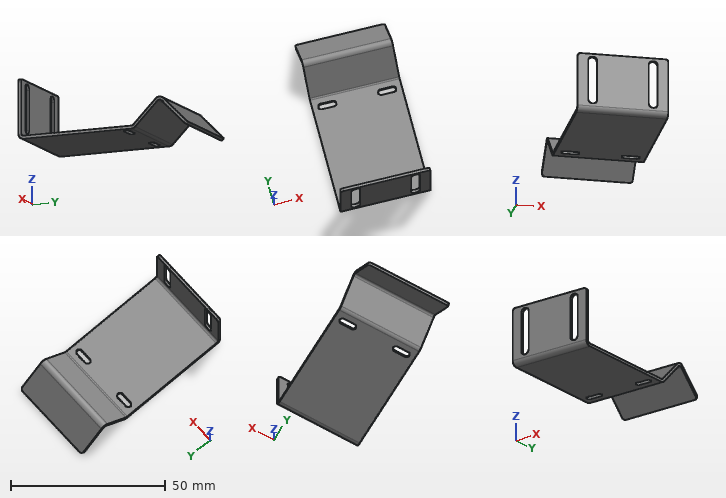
import cadquery as cq
import math

width = 30.0
length = 59.85
height = 20.0
thickness = 1.0
inner_radius = 0.85
outer_radius = inner_radius + thickness
corner_radius = 1.0

ridge_y = 50.0
ridge_z = 10.55
valley_y = ridge_y - (ridge_z - thickness)
tip_z = ridge_z - (length - ridge_y)
end_step = thickness / math.sqrt(2)

slot_offset = 10.0
wall_slot_length = 16.3
wall_slot_width = 3.0
wall_slot_z = 10.9
floor_slot_length = 6.0
floor_slot_width = 2.0
floor_slot_y = 37.1


def bent_sheet():
    """Extrude the sheet profile across X and round each bend on both faces."""
    wall_inside = (thickness, thickness)
    wall_outside = (0, 0)
    valley_top = (valley_y, thickness)
    valley_bottom = (valley_y + thickness * math.tan(math.radians(22.5)), 0)
    ridge_top = (ridge_y, ridge_z)
    ridge_bottom = (ridge_y, ridge_z - thickness * math.sqrt(2))
    outline = [
        (0, height),
        (thickness, height),
        wall_inside,
        valley_top,
        ridge_top,
        (length, tip_z),
        (length - end_step, tip_z - end_step),
        ridge_bottom,
        valley_bottom,
        wall_outside,
    ]
    sheet = cq.Workplane("YZ").polyline(outline).close().extrude(width / 2, both=True)
    bends = [
        (inner_radius, [wall_inside, valley_top, ridge_bottom]),
        (outer_radius, [wall_outside, valley_bottom, ridge_top]),
    ]
    for radius, corners in bends:
        for y, z in corners:
            corner = cq.selectors.NearestToPointSelector((0, y, z))
            sheet = sheet.edges("|X").edges(corner).fillet(radius)
    return sheet


def round_free_corners(sheet):
    """Round the corners at the top of the wall and at the tip of the ridge flap."""
    tip_middle = (length - end_step / 2, tip_z - end_step / 2)
    wall_middle = (thickness / 2, height)
    for y, z in (wall_middle, tip_middle):
        for x in (-width / 2, width / 2):
            corner = cq.selectors.NearestToPointSelector((x, y, z))
            sheet = sheet.edges(corner).fillet(corner_radius)
    return sheet


def wall_slots():
    """Upright slots through the front wall."""
    return (
        cq.Workplane("XZ")
        .pushPoints([(-slot_offset, wall_slot_z), (slot_offset, wall_slot_z)])
        .slot2D(wall_slot_length, wall_slot_width, 90)
        .extrude(thickness, both=True)
    )


def floor_slots():
    """Crosswise slots through the floor, just before the ridge."""
    return (
        cq.Workplane("XY")
        .pushPoints([(-slot_offset, floor_slot_y), (slot_offset, floor_slot_y)])
        .slot2D(floor_slot_length, floor_slot_width)
        .extrude(thickness, both=True)
    )


result = round_free_corners(bent_sheet()).cut(wall_slots()).cut(floor_slots())